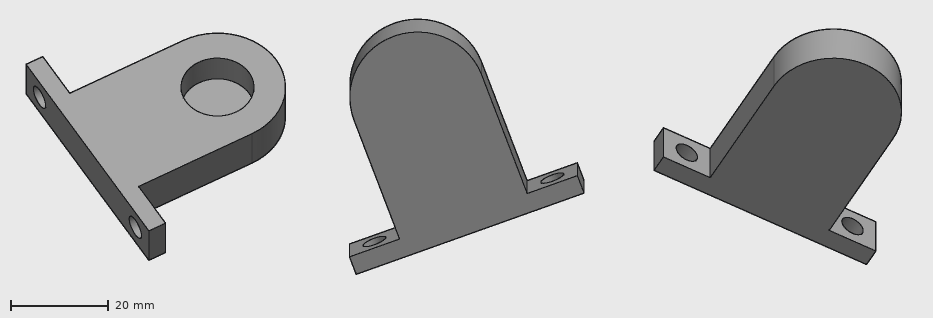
import cadquery as cq

flange_width = 50
flange_thickness = 4
height = 10

total_depth = 45
arm_width = 28
arm_radius = arm_width / 2
arm_center_y = total_depth - arm_radius

pocket_diameter = 15
pocket_depth = 7

mount_hole_diameter = 5
mount_hole_x = (flange_width + arm_width) / 4


def make_body():
    """Flange and arm as a single extruded outline."""
    return (
        cq.Workplane("XY")
        .moveTo(-flange_width / 2, 0)
        .lineTo(flange_width / 2, 0)
        .lineTo(flange_width / 2, flange_thickness)
        .lineTo(arm_radius, flange_thickness)
        .lineTo(arm_radius, arm_center_y)
        .threePointArc((0, total_depth), (-arm_radius, arm_center_y))
        .lineTo(-arm_radius, flange_thickness)
        .lineTo(-flange_width / 2, flange_thickness)
        .close()
        .extrude(height)
    )


def make_pocket():
    """Cylinder sunk into the top face of the arm."""
    return (
        cq.Workplane("XY", origin=(0, arm_center_y, height - pocket_depth))
        .circle(pocket_diameter / 2)
        .extrude(pocket_depth)
    )


def make_mount_holes():
    """Pair of cylinders running through the flange along Y."""
    return (
        cq.Workplane("XZ", origin=(0, 0, height / 2))
        .pushPoints([(-mount_hole_x, 0), (mount_hole_x, 0)])
        .circle(mount_hole_diameter / 2)
        .extrude(-flange_thickness)
    )


result = make_body().cut(make_pocket()).cut(make_mount_holes())